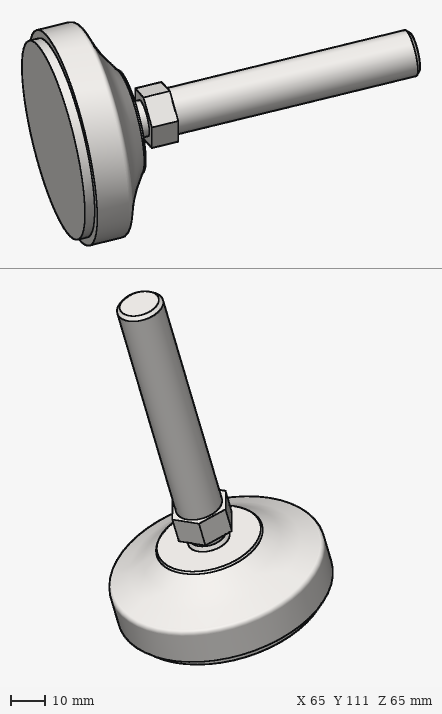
import cadquery as cq
import math

total_length = 111.0
pad_diameter = 60.0
pad_height = 3.0
rim_diameter = 65.0
rim_top = 12.8
shoulder_top = 14.3
shoulder_radius = 31.3
flare_top = 22.8
flare_top_radius = 16.1
flare_sag = 0.7
body_top = 23.4
top_edge_bevel = 0.4
ball_diameter = 14.0
ball_top_cut = 24.8
neck_diameter = 11.0
hex_bottom = 27.8
hex_height = 8.1
hex_across_flats = 16.0
stud_diameter = 14.0
stud_chamfer = 1.1

underside = -total_length / 2


def base_plane(height):
    """Plane at a height above the underside, with its normal along +Y."""
    return cq.Workplane("ZX", origin=(0, underside + height, 0))


def cylinder(diameter, bottom, top):
    return base_plane(bottom).circle(diameter / 2).extrude(top - bottom)


def foot_body():
    """Rim with a rounded shoulder and a hollow flared flank, turned about Y."""
    rim_radius = rim_diameter / 2
    run = shoulder_radius - flare_top_radius
    rise = flare_top - shoulder_top
    flank_length = math.hypot(run, rise)
    flank_middle = (
        (shoulder_radius + flare_top_radius) / 2 - flare_sag * rise / flank_length,
        underside + (shoulder_top + flare_top) / 2 - flare_sag * run / flank_length,
    )
    return (
        cq.Workplane("XY")
        .moveTo(0, underside + pad_height)
        .lineTo(rim_radius, underside + pad_height)
        .lineTo(rim_radius, underside + rim_top)
        .tangentArcPoint((shoulder_radius, underside + shoulder_top), relative=False)
        .threePointArc(flank_middle, (flare_top_radius, underside + flare_top))
        .lineTo(flare_top_radius - top_edge_bevel, underside + body_top)
        .lineTo(0, underside + body_top)
        .close()
        .revolve(360, (0, 0, 0), (0, 1, 0))
    )


def ball():
    """Joint ball seated in the body, with its top showing around the neck."""
    neck_radius = neck_diameter / 2
    centre_drop = math.sqrt((ball_diameter / 2) ** 2 - neck_radius**2)
    centre_height = ball_top_cut - centre_drop
    return base_plane(centre_height).sphere(ball_diameter / 2).intersect(
        cylinder(ball_diameter, centre_height, ball_top_cut)
    )


def hexagon():
    """Wrench hexagon with corners pointing along +Z and -Z."""
    across_corners = hex_across_flats / math.cos(math.pi / 6)
    return base_plane(hex_bottom).polygon(6, across_corners).extrude(hex_height)


def stud():
    shank = cylinder(stud_diameter, hex_bottom + hex_height, total_length)
    return shank.faces(">Y").edges().chamfer(stud_chamfer)


pad = cylinder(pad_diameter, 0, pad_height)
neck = cylinder(neck_diameter, body_top, hex_bottom)
result = pad.union(foot_body()).union(ball()).union(neck).union(hexagon()).union(stud())